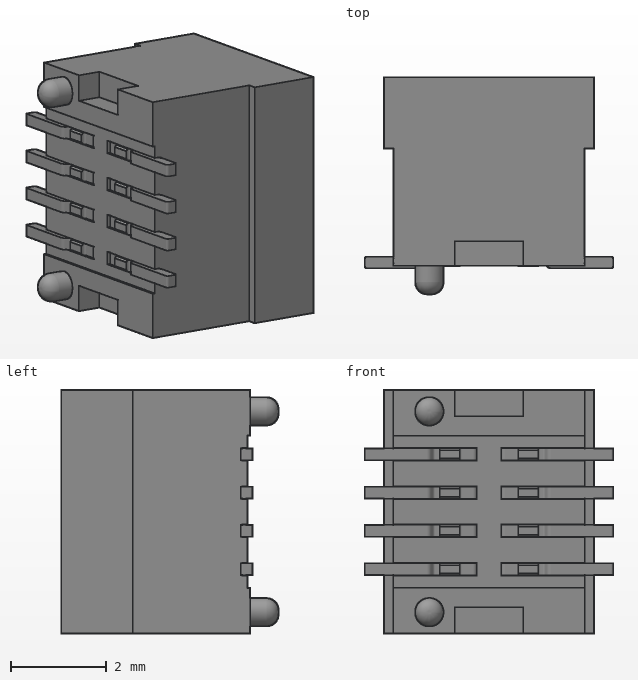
import cadquery as cq
import math


housing_height = 5.1
housing_depth = 3.95
flange_width = 4.4
flange_depth = 1.5
base_width = 4.0

relief_height = 3.18
relief_depth = 0.05

notch_width = 1.425
notch_depth = 0.52
notch_height = 0.55

peg_diameter = 0.6
peg_length = 0.6
peg_round = 0.26
peg_x = -1.25
peg_z = 2.1

contact_rows = 4
contact_pitch = 0.8
contact_span = 5.2
contact_height = 0.25
tail_thickness = 0.25
tail_front = -0.05
tail_tip_round = 0.045

foot_inner_x = 0.255
foot_depth = 0.03
foot_end_round = 0.08
slot_height = 0.27

bend_angle = math.radians(57)
bend_start_x = 1.3
bend_outer_radius = 0.105
bend_inner_radius = 0.05

pad_center_x = 0.82
pad_top_length = 0.415
pad_rise = 0.09
pad_base_round = 0.045
pad_chamfer = 0.04

foot_front = relief_depth + foot_depth
contact_back = tail_front + tail_thickness
slot_floor = foot_front + foot_end_round
row_offsets = [(row - (contact_rows - 1) / 2) * contact_pitch for row in range(contact_rows)]


def box(x_min, x_max, y_min, y_max, height, z_center=0):
    """Box with given X and Y limits, centred in height on z_center."""
    return (
        cq.Workplane("XY")
        .box(x_max - x_min, y_max - y_min, height)
        .translate(((x_min + x_max) / 2, (y_min + y_max) / 2, z_center))
    )


def make_housing():
    half_base = base_width / 2
    half_flange = flange_width / 2
    housing = box(-half_base, half_base, 0, housing_depth, housing_height)
    flange = box(-half_flange, half_flange, housing_depth - flange_depth, housing_depth, housing_height)
    relief = box(-half_base, half_base, 0, relief_depth, relief_height)
    housing = housing.union(flange).cut(relief)

    notch_z = (housing_height - notch_height) / 2
    for side in (-1, 1):
        notch = box(-notch_width / 2, notch_width / 2, 0, notch_depth, notch_height, side * notch_z)
        housing = housing.cut(notch)
    return housing


def make_peg(z_center):
    """Round peg with a domed end, rising from the mounting face toward -Y."""
    return (
        cq.Workplane("XZ", origin=(peg_x, 0, z_center))
        .circle(peg_diameter / 2)
        .extrude(peg_length)
        .faces("<Y")
        .edges()
        .fillet(peg_round)
    )


def make_slot():
    """Clearance slot for the contact on the +X side, open to the side of the base."""
    return box(foot_inner_x, base_width / 2, relief_depth, slot_floor, slot_height)


def make_contact_strip():
    """Tail, bend and foot of the contact on the +X side."""
    tail_end = contact_span / 2
    sine = math.sin(bend_angle)
    cosine = math.cos(bend_angle)
    half_sine = math.sin(bend_angle / 2)
    half_cosine = math.cos(bend_angle / 2)

    flank_top_x = bend_start_x - bend_outer_radius * sine
    flank_top_y = tail_front + bend_outer_radius * (1 - cosine)
    flank_low_y = foot_front - bend_inner_radius * (1 - cosine)
    flank_low_x = flank_top_x - (flank_low_y - flank_top_y) / math.tan(bend_angle)
    foot_start_x = flank_low_x - bend_inner_radius * sine

    outer_bend_middle = (
        bend_start_x - bend_outer_radius * half_sine,
        tail_front + bend_outer_radius * (1 - half_cosine),
    )
    inner_bend_middle = (
        foot_start_x + bend_inner_radius * half_sine,
        foot_front - bend_inner_radius * (1 - half_cosine),
    )
    strip = (
        cq.Workplane("XY")
        .moveTo(tail_end, contact_back)
        .lineTo(tail_end, tail_front)
        .lineTo(bend_start_x, tail_front)
        .threePointArc(outer_bend_middle, (flank_top_x, flank_top_y))
        .lineTo(flank_low_x, flank_low_y)
        .threePointArc(inner_bend_middle, (foot_start_x, foot_front))
        .lineTo(foot_inner_x + foot_end_round, foot_front)
        .tangentArcPoint((foot_inner_x, slot_floor), relative=False)
        .lineTo(foot_inner_x, contact_back)
        .close()
        .extrude(contact_height / 2, both=True)
    )
    return strip.edges("|Z and >X").fillet(tail_tip_round)


def make_pad():
    """Raised pad with hollow-rounded ends and chamfered upper and lower edges."""
    half_top = pad_top_length / 2
    half_base = half_top + pad_base_round
    pad_front = foot_front - pad_rise
    round_top = foot_front - pad_base_round
    round_inset = pad_base_round * (1 - math.sqrt(0.5))
    pad = (
        cq.Workplane("XY")
        .moveTo(-half_base, contact_back)
        .lineTo(-half_base, foot_front)
        .threePointArc((-half_top - round_inset, foot_front - round_inset), (-half_top, round_top))
        .lineTo(-half_top, pad_front)
        .lineTo(half_top, pad_front)
        .lineTo(half_top, round_top)
        .threePointArc((half_top + round_inset, foot_front - round_inset), (half_base, foot_front))
        .lineTo(half_base, contact_back)
        .close()
        .extrude(contact_height / 2, both=True)
        .faces("<Y")
        .edges("|X")
        .chamfer(pad_chamfer)
    )
    return pad.translate((pad_center_x, 0, 0))


result = make_housing()

for peg_side in (-1, 1):
    result = result.union(make_peg(peg_side * peg_z))

right_slot = make_slot()
right_contact = make_contact_strip().union(make_pad())
for row_z in row_offsets:
    for slot, contact in (
        (right_slot, right_contact),
        (right_slot.mirror("YZ"), right_contact.mirror("YZ")),
    ):
        row_shift = (0, 0, row_z)
        result = result.cut(slot.translate(row_shift)).union(contact.translate(row_shift))